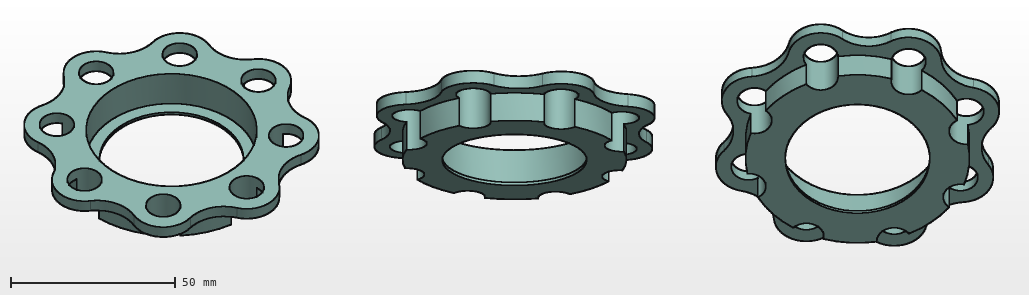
import cadquery as cq
import math

lobe_count = 8
lobe_pitch = 360 / lobe_count
outer_radius = 45.0
lobe_radius = 10.0
lobe_circle_radius = outer_radius - lobe_radius
hollow_radius = 12.5
flange_thickness = 4.05
hole_diameter = 10.5

total_height = 13.05
hub_diameter = 68.2
bore_diameter = 52.0
lip_diameter = 44.0
lip_thickness = 1.0


def polar(radius, degrees):
    angle = math.radians(degrees)
    return (radius * math.cos(angle), radius * math.sin(angle))


half_pitch = math.radians(lobe_pitch / 2)
center_gap = lobe_radius + hollow_radius
offset_across = lobe_circle_radius * math.sin(half_pitch)
hollow_center_radius = (
    lobe_circle_radius * math.cos(half_pitch)
    + math.sqrt(center_gap**2 - offset_across**2)
)
valley_radius = hollow_center_radius - hollow_radius

hollow_x, hollow_y = polar(hollow_center_radius, lobe_pitch / 2)
tangent_x = lobe_circle_radius + (hollow_x - lobe_circle_radius) * lobe_radius / center_gap
tangent_y = hollow_y * lobe_radius / center_gap
tangent_radius = math.hypot(tangent_x, tangent_y)
tangent_angle = math.degrees(math.atan2(tangent_y, tangent_x))


def make_flange():
    outline = cq.Workplane("XY").moveTo(*polar(tangent_radius, -tangent_angle))
    for i in range(lobe_count):
        lobe_angle = i * lobe_pitch
        next_angle = lobe_angle + lobe_pitch
        outline = outline.threePointArc(
            polar(outer_radius, lobe_angle),
            polar(tangent_radius, lobe_angle + tangent_angle),
        )
        outline = outline.threePointArc(
            polar(valley_radius, lobe_angle + lobe_pitch / 2),
            polar(tangent_radius, next_angle - tangent_angle),
        )
    flange_bottom = total_height - flange_thickness
    return outline.close().extrude(flange_thickness).translate((0, 0, flange_bottom))


def make_hub():
    return cq.Workplane("XY").circle(hub_diameter / 2).extrude(total_height)


def make_bore():
    lip_opening = cq.Workplane("XY").circle(lip_diameter / 2).extrude(total_height)
    main_bore = (
        cq.Workplane("XY")
        .workplane(offset=lip_thickness)
        .circle(bore_diameter / 2)
        .extrude(total_height - lip_thickness)
    )
    return lip_opening.union(main_bore)


def make_lobe_holes():
    return (
        cq.Workplane("XY")
        .polarArray(lobe_circle_radius, 0, 360, lobe_count)
        .circle(hole_diameter / 2)
        .extrude(total_height)
    )


result = make_flange().union(make_hub()).cut(make_bore()).cut(make_lobe_holes())